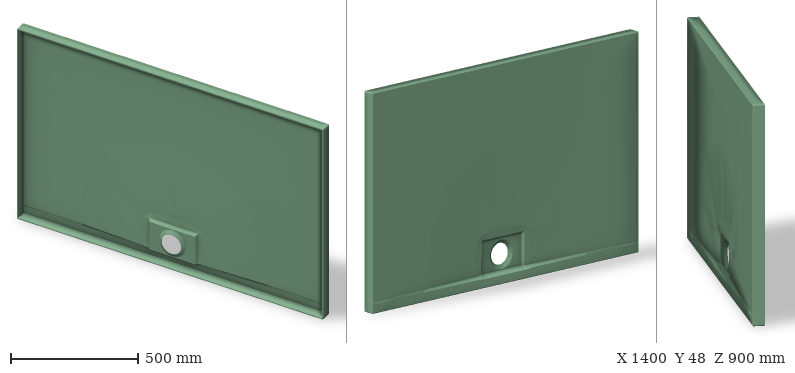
import cadquery as cq
import math

LENGTH = 1400.0
DEPTH = 48.0
HEIGHT = 900.0
WALL = 5.0
CORNER_RADIUS = 5.0
BACK_RADIUS = 4.0

FLOOR_THICKNESS = 5.0
INNER_X = LENGTH / 2 - WALL
INNER_Z = HEIGHT / 2 - WALL
STRIP_Y = DEPTH / 2 - FLOOR_THICKNESS
RIM_Y = STRIP_Y - 1.0
FOLD_Y = 15.0
LOW_EDGE_Y = 14.0
PAD_TOP_Y = 7.0
PAD_SIDE_Y = 6.0
PAD_LOW_Y = 4.0
BOX_BASE_TOP_Y = 4.0
BOX_BASE_LOW_Y = 2.0
BOX_FACE_Y = -7.0

FOLD_X = 331.0
FOLD_Z = 0.0
APEX_Z = 114.0
APEX_FLANK_X = 170.0
APEX_FLANK_Z = 76.0
SIDE_FOLD_Z = 23.0
TOP_FOLD_X = LENGTH / 4
LOW_FOLD_X = 424.0
TOP_FOLD_RISE = 4.5
SIDE_FOLD_RISE = 5.5
LOW_FOLD_RISE = 16.5

STEP_TOP_Z = -401.0
STEP_FOOT_Z = -411.0
STEP_END_Z = -404.5
STRIP_MID_X = 577.0
STRIP_END_X = 613.0
STRIP_TILT = 2.0

PAD_HALF_WIDTH = 150.0
PAD_TOP_Z = -225.0
PAD_SIDE_X = 141.0
PAD_SIDE_Z = -276.0
PAD_SHOULDER_X = 99.0
PAD_SHOULDER_Z = -233.0
PAD_CORNER_X = 128.5
PAD_CORNER_Z = -248.0
PAD_SIDE_RISE = 3.7
PAD_CORNER_RISE = 1.7
PAD_TOP_RISE = 2.0
BOX_HALF_WIDTH = 112.0
BOX_TOP_Z = -259.5
BOX_FOOT_Z = -414.0
BOX_FACE_TOP_Z = -270.5
BOX_DRAFT = 9.0
OUTLET_Z = -337.0
OUTLET_BASE_RADIUS = 61.0
OUTLET_TIP_RADIUS = 47.0
OUTLET_HEIGHT = 8.0
HOLE_RADIUS = 44.5
HOLE_LIP = 2.0
HOLE_BACK_RADIUS = 60.0


def point(x, y, z):
    return cq.Vector(x, y, z)


def centre(*points):
    """Mean of the points."""
    return sum(points[1:], points[0]) * (1 / len(points))


def line(start, end):
    return cq.Edge.makeLine(start, end)


def bow(start, end, rise):
    """Arc between two net points, rising to the right of its course as seen from -Y."""
    run_x = end.x - start.x
    run_z = end.z - start.z
    chord = math.hypot(run_x, run_z)
    side = point(run_z / chord, 0, -run_x / chord)
    return cq.Edge.makeThreePointArc(start, centre(start, end) + side * rise, end)


def ring(*points):
    """Straight edges joining the points in a closed loop."""
    return [line(a, b) for a, b in zip(points, points[1:] + points[:1])]


def planar(*points):
    return cq.Face.makeFromWires(cq.Wire.assembleEdges(ring(*points)))


def filled(*edges, through=()):
    """Smooth patch inside a loop of edges, passing through any inner points given."""
    return cq.Face.makeNSidedSurface(list(edges), list(through))


def ruled(a, b, c, d):
    """Four-cornered face between the straight edges a-b and d-c."""
    return cq.Face.makeRuledSurface(line(a, b), line(d, c))


def low_edge_y(x):
    """Depth of the floor's bottom edge between the side wall and the low fold."""
    return RIM_Y + (LOW_EDGE_Y - RIM_Y) * (INNER_X - x) / (INNER_X - LOW_FOLD_X)


def box_base_y(z):
    """Depth of the side edge along which the drain box meets the blend."""
    share = (z - BOX_TOP_Z) / (STEP_TOP_Z - BOX_TOP_Z)
    return BOX_BASE_TOP_Y + (BOX_BASE_LOW_Y - BOX_BASE_TOP_Y) * share


top_mid = point(0, RIM_Y, INNER_Z)
top_fold = point(TOP_FOLD_X, RIM_Y, INNER_Z)
top_corner = point(INNER_X, RIM_Y, INNER_Z)
side_fold = point(INNER_X, RIM_Y, SIDE_FOLD_Z)
low_corner = point(INNER_X, RIM_Y, STEP_END_Z)
low_end = point(STRIP_END_X, low_edge_y(STRIP_END_X), STEP_END_Z)
low_bend = point(STRIP_MID_X, low_edge_y(STRIP_MID_X), STEP_TOP_Z)
low_fold = point(LOW_FOLD_X, LOW_EDGE_Y, STEP_TOP_Z)
node = point(FOLD_X, FOLD_Y, FOLD_Z)
apex = point(0, FOLD_Y, APEX_Z)

pad_low = point(PAD_HALF_WIDTH, PAD_LOW_Y, STEP_TOP_Z)
pad_side = point(PAD_SIDE_X, PAD_SIDE_Y, PAD_SIDE_Z)
pad_corner = point(PAD_CORNER_X, PAD_TOP_Y, PAD_CORNER_Z)
pad_shoulder = point(PAD_SHOULDER_X, PAD_TOP_Y, PAD_SHOULDER_Z)
pad_top = point(0, PAD_TOP_Y, PAD_TOP_Z)

base_low = point(BOX_HALF_WIDTH, BOX_BASE_LOW_Y, STEP_TOP_Z)
base_side = point(BOX_HALF_WIDTH, box_base_y(PAD_SIDE_Z), PAD_SIDE_Z)
base_corner = point(BOX_HALF_WIDTH, BOX_BASE_TOP_Y, BOX_TOP_Z)
base_shoulder = point(PAD_SHOULDER_X, BOX_BASE_TOP_Y, BOX_TOP_Z)
base_top = point(0, BOX_BASE_TOP_Y, BOX_TOP_Z)
face_x = BOX_HALF_WIDTH - BOX_DRAFT
face_low = point(face_x, BOX_FACE_Y, STEP_TOP_Z)
face_side = point(face_x, BOX_FACE_Y, PAD_SIDE_Z)
face_corner = point(face_x, BOX_FACE_Y, BOX_FACE_TOP_Z)
face_top = point(0, BOX_FACE_Y, BOX_FACE_TOP_Z)
face_low_mid = point(0, BOX_FACE_Y, STEP_TOP_Z)

wing = centre(side_fold, low_corner, low_fold, node)
flank = centre(low_fold, pad_low, pad_corner, node)


def apex_curve():
    """Fold over the drain, level at the middle of the tray."""
    via = point(APEX_FLANK_X, FOLD_Y, APEX_FLANK_Z)
    chord = node - via
    return cq.Edge.makeSpline([apex, via, node], tangents=[point(1, 0, 0), chord.normalized()])


def floor_patches():
    top_arc = bow(node, top_fold, TOP_FOLD_RISE)
    side_arc = bow(side_fold, node, SIDE_FOLD_RISE)
    apex_arc = apex_curve()
    low_arc = bow(low_fold, node, LOW_FOLD_RISE)
    diagonal = line(node, pad_corner)
    pad_side_arc = bow(pad_low, pad_side, PAD_SIDE_RISE)
    pad_corner_arc = bow(pad_side, pad_corner, PAD_CORNER_RISE)
    pad_shoulder_arc = bow(pad_corner, pad_shoulder, PAD_CORNER_RISE)
    pad_top_arc = bow(pad_shoulder, pad_top, PAD_TOP_RISE)
    inner_corner = line(pad_corner, base_corner)
    inner_side = line(pad_side, base_side)
    inner_shoulder = line(pad_shoulder, base_shoulder)
    return [
        filled(line(top_mid, top_fold), top_arc, apex_arc, line(apex, top_mid)),
        filled(line(top_fold, top_corner), line(top_corner, side_fold), side_arc, top_arc),
        filled(
            side_arc, line(side_fold, low_corner), line(low_corner, low_end),
            line(low_end, low_bend), line(low_bend, low_fold), low_arc,
            through=[wing],
        ),
        filled(
            low_arc, line(low_fold, pad_low), pad_side_arc, pad_corner_arc, diagonal,
            through=[flank],
        ),
        filled(diagonal, pad_shoulder_arc, pad_top_arc, line(pad_top, apex), apex_arc),
        filled(pad_side_arc, inner_side, line(base_side, base_low), line(base_low, pad_low)),
        filled(pad_corner_arc, inner_corner, line(base_corner, base_side), inner_side),
        filled(pad_shoulder_arc, inner_shoulder, line(base_shoulder, base_corner), inner_corner),
        filled(pad_top_arc, line(pad_top, base_top), line(base_top, base_shoulder), inner_shoulder),
    ]


def box_patches():
    return [
        planar(base_top, base_shoulder, base_corner, face_corner, face_top),
        filled(*ring(base_corner, base_side, base_low, face_low, face_side, face_corner)),
        planar(face_top, face_corner, face_side, face_low, face_low_mid),
    ]


def tilted_foot(x, z):
    """Point on the tilted middle stretch of the strip."""
    tilt = STRIP_TILT * (z + INNER_Z) / (STEP_FOOT_Z + INNER_Z)
    return point(x, STRIP_Y - tilt, z)


step_edge = [low_corner, low_end, low_bend, low_fold, pad_low, base_low, face_low, face_low_mid]
step_foot = [
    point(INNER_X, STRIP_Y, STEP_FOOT_Z),
    point(STRIP_END_X, STRIP_Y, STEP_FOOT_Z),
    tilted_foot(STRIP_MID_X, STEP_FOOT_Z),
    tilted_foot(LOW_FOLD_X, STEP_FOOT_Z),
    tilted_foot(PAD_HALF_WIDTH, STEP_FOOT_Z),
    tilted_foot(BOX_HALF_WIDTH, BOX_FOOT_Z),
    tilted_foot(face_x, BOX_FOOT_Z),
    tilted_foot(0, BOX_FOOT_Z),
]
wall_foot = [point(x, STRIP_Y, -INNER_Z) for x in (INNER_X, STRIP_END_X, STRIP_MID_X, 0)]


def step_patches():
    corners = zip(step_edge, step_edge[1:], step_foot[1:], step_foot)
    return [ruled(*four) for four in corners]


def strip_patches():
    end, bend, middle = step_foot[:2], step_foot[1:3], step_foot[2:]
    return [
        planar(*end, wall_foot[1], wall_foot[0]),
        ruled(*bend, wall_foot[2], wall_foot[1]),
        planar(*middle, wall_foot[3], wall_foot[2]),
    ]


def floor_plate():
    """Floor, box, step and strip: front net, back net and the edge between them."""
    back = cq.Vector(0, FLOOR_THICKNESS, 0)
    front_net = floor_patches() + box_patches() + step_patches() + strip_patches()
    back_net = [face.translate(back) for face in front_net]
    border = [
        top_mid, top_fold, top_corner, side_fold, low_corner, step_foot[0], *wall_foot,
    ]
    edge_faces = [ruled(a, b, b + back, a + back) for a, b in zip(border, border[1:])]
    half = front_net + back_net + edge_faces
    other_half = [face.mirror("YZ") for face in half]
    return cq.Workplane(cq.Solid.makeSolid(cq.Shell.makeShell(half + other_half)))


def frame():
    outer = (
        cq.Workplane("XY").box(LENGTH, DEPTH, HEIGHT)
        .edges("|Y").fillet(CORNER_RADIUS)
        .faces(">Y").edges().fillet(BACK_RADIUS)
    )
    return outer.cut(cq.Workplane("XY").box(2 * INNER_X, 2 * DEPTH, 2 * INNER_Z))


def drain_plane(y):
    """Sketch plane at a given Y on the outlet axis, facing -Y."""
    return cq.Workplane("XZ", origin=(0, y, OUTLET_Z))


def outlet():
    return (
        drain_plane(BOX_FACE_Y).circle(OUTLET_BASE_RADIUS)
        .workplane(offset=OUTLET_HEIGHT).circle(OUTLET_TIP_RADIUS).loft()
    )


def outlet_hole():
    """Straight lip at the tip of the outlet, widening to the back of the box face."""
    lip_y = BOX_FACE_Y - OUTLET_HEIGHT + HOLE_LIP
    back_y = BOX_FACE_Y + FLOOR_THICKNESS
    lip = drain_plane(lip_y).circle(HOLE_RADIUS).extrude(2 * HOLE_LIP)
    flare = (
        drain_plane(back_y).circle(HOLE_BACK_RADIUS)
        .workplane(offset=back_y - lip_y).circle(HOLE_RADIUS).loft()
    )
    return lip.union(flare)


tray = frame().union(floor_plate(), clean=False).union(outlet(), clean=False)
result = cq.Workplane(tray.cut(outlet_hole(), clean=False).solids().val())